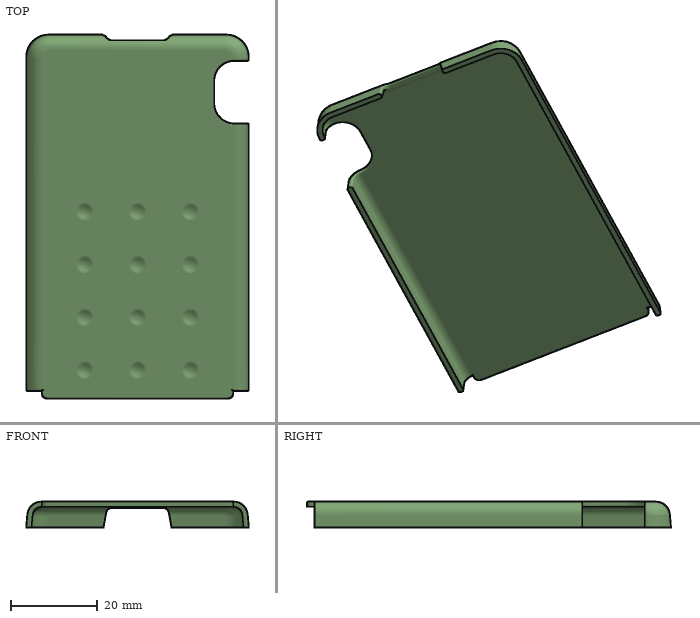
import cadquery as cq
import math

width = 51.8
length = 84.6
height = 6.1

wall = 1.3
draft = 5.0
shoulder = 3.4
corner = 5.3
edge_round = 0.4

lip_length = 1.8
lip_corner = 1.3
wall_front = -length / 2 + lip_length
wall_back = length / 2
lean = math.tan(math.radians(draft))
shoulder_inset = height * lean + shoulder * math.tan(math.radians(90 - draft) / 2)
lip_width = width - 2 * shoulder_inset

side_opening_front = 21.65
side_opening_back = 36.1
side_opening_depth = 8.0
side_opening_corner = 4.6

notch_base_width = 15.7
notch_height = 4.6
notch_draft = 10.0
notch_corner = 1.3

dimple_columns = 3
dimple_rows = 4
dimple_pitch = 12.3
dimple_grid_y = -17.25
dimple_diameter = 3.5
dimple_depth = 0.5
dimple_rim_round = 0.9


def rounded_block(inset):
    """Drafted block with rounded shoulders, inset from the outer surface and too long at the front."""
    overrun = 3 * shoulder
    half = width / 2 - inset
    back = wall_back - inset
    front = wall_front - overrun
    radius = corner - inset
    return (
        cq.Workplane("XY")
        .moveTo(-half, front)
        .lineTo(half, front)
        .lineTo(half, back - radius)
        .radiusArc((half - radius, back), -radius)
        .lineTo(-half + radius, back)
        .radiusArc((-half, back - radius), -radius)
        .close()
        .extrude(height - inset, taper=draft)
        .faces(">Z")
        .edges()
        .fillet(shoulder - inset)
    )


def side_opening():
    """Cutter for the opening that breaks through the right wall and into the top plate."""
    reach = side_opening_depth + wall
    middle_x = width / 2 - side_opening_depth + reach / 2
    middle_y = (side_opening_front + side_opening_back) / 2
    return (
        cq.Workplane("XY")
        .center(middle_x, middle_y)
        .rect(reach, side_opening_back - side_opening_front)
        .extrude(height)
        .edges("|Z and <X")
        .fillet(side_opening_corner)
    )


def back_notch():
    """Cutter for the notch in the back wall, narrower towards the top."""
    half_base = notch_base_width / 2
    half_top = half_base - notch_height * math.tan(math.radians(notch_draft))
    return (
        cq.Workplane("XZ", origin=(0, wall_back + wall, 0))
        .polyline([(-half_base, 0), (half_base, 0), (half_top, notch_height), (-half_top, notch_height)])
        .close()
        .extrude(corner + wall)
        .edges("|Y and >Z")
        .fillet(notch_corner)
    )


def front_lip():
    """Tongue with rounded front corners whose back end is buried in the top plate."""
    tongue_length = lip_length + 2 * edge_round
    return (
        cq.Workplane("XY", origin=(0, -length / 2 + tongue_length / 2, height - wall))
        .rect(lip_width, tongue_length)
        .extrude(wall)
        .edges("|Z and <Y")
        .fillet(lip_corner)
        .faces(">Z")
        .edges("not >Y")
        .fillet(edge_round)
    )


def open_shell():
    """Top plate with three walls, cut square at the front."""
    front_trim = cq.Workplane("XY", origin=(0, wall_front - length / 2, 0)).box(2 * width, length, 4 * height)
    return rounded_block(0).cut(rounded_block(wall)).cut(front_trim)


def round_rims(body, x_range, y_range, top=height):
    """Round the edges centred in a plan rectangle, above the base and up to a given height."""
    margin = 0.1
    low = (x_range[0] - margin, y_range[0] - margin, margin)
    high = (x_range[1] + margin, y_range[1] + margin, top + margin)
    return body.edges(cq.selectors.BoxSelector(low, high)).fillet(edge_round)


def dimples():
    """Spherical cutters that sink into the top plate, with their poles along X."""
    ball_radius = (dimple_diameter**2 / 4 + dimple_depth**2) / (2 * dimple_depth)
    return (
        cq.Workplane("XY", origin=(0, dimple_grid_y, height + ball_radius - dimple_depth))
        .rarray(dimple_pitch, dimple_pitch, dimple_columns, dimple_rows)
        .sphere(ball_radius, direct=(1, 0, 0))
    )


def round_dimple_rims(body):
    """Round the circles where the dimples meet the top face."""
    reach_x = (dimple_columns * dimple_pitch) / 2
    reach_y = (dimple_rows * dimple_pitch) / 2
    rims = cq.selectors.BoxSelector(
        (-reach_x, dimple_grid_y - reach_y, height - dimple_depth / 2),
        (reach_x, dimple_grid_y + reach_y, height + dimple_depth / 2),
    )
    return body.edges(rims).edges("%CIRCLE").fillet(dimple_rim_round)


side_wall = width / 2
notch_half = notch_base_width / 2
opening_x = (side_wall - side_opening_depth, side_wall)
opening_y = (side_opening_front, side_opening_back)

result = open_shell().cut(side_opening()).cut(back_notch())

result = round_rims(result, (-side_wall, side_wall), (wall_front, wall_front))
result = round_rims(result, opening_x, opening_y)
result = round_rims(result, (-notch_half, notch_half), (wall_back - corner, wall_back), notch_height)

result = result.union(front_lip()).cut(dimples())
result = round_dimple_rims(result)